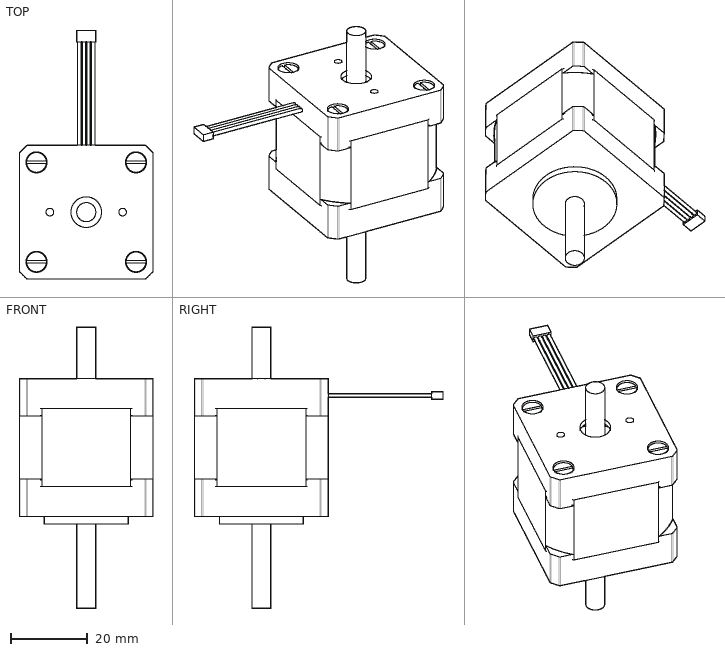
import cadquery as cq
import math

frame_width = 35.0
frame_height = 36.0
corner_chamfer = 2.0
corner_round = 0.5

stator_radius = 21.0
stator_height = 20.4
pocket_rim_chamfer = 0.2
exposed_stator_height = 16.4

cap_height = (frame_height - exposed_stator_height) / 2
stator_bottom = (frame_height - stator_height) / 2
stator_top = stator_bottom + stator_height
upper_cap_bottom = frame_height - cap_height

shaft_diameter = 5.0
shaft_below_pilot = 22.0
shaft_above_frame = 13.5
shaft_opening_diameter = 8.0
end_wall = 1.5

bearing_diameter = 15.0
bearing_depth = 5.4
bearing_top = frame_height - bearing_depth

pilot_diameter = 22.0
pilot_height = 2.0

drilled_hole_diameter = 2.0
drilled_hole_spacing = 19.0
drilled_hole_depth = 4.0
drill_point_angle = 118.0

screw_spacing = 26.0
screw_diameter = 3.0
screw_head_diameter = 5.2
screw_head_height = 2.0
screw_recess_diameter = 5.5
screw_head_sink = 0.5
screw_slot_width = 0.7
screw_slot_depth = 1.0
screw_tip_height = 3.0
screw_head_top = frame_height - screw_head_sink
screw_head_bottom = screw_head_top - screw_head_height

wire_count = 4
wire_diameter = 1.0
wire_pitch = 1.2
wire_length = 27.0
wire_drop = 4.4
plug_width = 5.0
plug_length = 3.0
plug_height = 2.0
wire_level = frame_height - wire_drop


def cylinder(diameter, bottom, top, x=0.0, y=0.0):
    return cq.Workplane("XY", origin=(x, y, bottom)).circle(diameter / 2).extrude(top - bottom)


def square_block(bottom, top):
    return cq.Workplane("XY").workplane(offset=bottom).rect(frame_width, frame_width).extrude(top - bottom)


screw_points = [
    (x * screw_spacing / 2, y * screw_spacing / 2)
    for x in (-1, 1)
    for y in (-1, 1)
]


def cap_block(bottom, top):
    """Square cap with chamfered corners, where each chamfer blends softly into the sides."""
    block = square_block(bottom, top).edges("|Z").chamfer(corner_chamfer)
    return block.edges("|Z").fillet(corner_round)


def rim_chamfer(rim, direction):
    """Cone that widens the pocket at a cap's rim and narrows into the cap along the Z direction."""
    rim_radius = stator_radius + pocket_rim_chamfer
    return (
        cq.Workplane("XY", origin=(0, 0, rim))
        .circle(rim_radius)
        .workplane(offset=direction * pocket_rim_chamfer)
        .circle(stator_radius)
        .loft()
    )


def stator_pocket():
    """Round seat for the stator; it breaks through the flat sides of the caps."""
    pocket = cylinder(2 * stator_radius, stator_bottom, stator_top)
    for rim, direction in ((cap_height, -1), (upper_cap_bottom, 1)):
        pocket = pocket.union(rim_chamfer(rim, direction))
    return pocket


def drilled_hole(x):
    radius = drilled_hole_diameter / 2
    cone_depth = radius / math.tan(math.radians(drill_point_angle / 2))
    shoulder = frame_height - drilled_hole_depth
    profile = [
        (0, frame_height),
        (radius, frame_height),
        (radius, shoulder),
        (0, shoulder - cone_depth),
    ]
    hole = cq.Workplane("XZ").polyline(profile).close().revolve(360, (0, 0, 0), (0, 1, 0))
    return hole.translate((x, 0, 0))


def make_upper_cap():
    cap = cap_block(upper_cap_bottom, frame_height).cut(stator_pocket())
    cap = cap.cut(cylinder(bearing_diameter, stator_top, frame_height - end_wall))
    cap = cap.cut(cylinder(shaft_opening_diameter, stator_top, frame_height))
    for side in (-1, 1):
        cap = cap.cut(drilled_hole(side * drilled_hole_spacing / 2))
    for x, y in screw_points:
        cap = cap.cut(cylinder(screw_diameter, upper_cap_bottom, frame_height, x, y))
        cap = cap.cut(cylinder(screw_recess_diameter, screw_head_bottom, frame_height, x, y))
    return cap


def make_lower_cap():
    cap = cap_block(0, cap_height).cut(stator_pocket())
    cap = cap.union(cylinder(pilot_diameter, -pilot_height, 0))
    cap = cap.cut(cylinder(shaft_diameter, -pilot_height, cap_height))
    for x, y in screw_points:
        cap = cap.cut(cylinder(screw_diameter, screw_tip_height, cap_height, x, y))
    return cap


def make_stator():
    core = cylinder(2 * stator_radius, stator_bottom, stator_top)
    core = core.intersect(square_block(stator_bottom, stator_top))
    core = core.cut(cylinder(shaft_diameter, stator_bottom, stator_top))
    for x, y in screw_points:
        core = core.cut(cylinder(screw_diameter, stator_bottom, stator_top, x, y))
    return core


def make_bearing():
    bearing = cylinder(bearing_diameter, stator_top, bearing_top)
    return bearing.cut(cylinder(shaft_diameter, stator_top, bearing_top))


def make_shaft():
    bottom = -pilot_height - shaft_below_pilot
    top = frame_height + shaft_above_frame
    return cylinder(shaft_diameter, bottom, top)


def make_screw(x, y):
    shank = cylinder(screw_diameter, screw_tip_height, screw_head_bottom, x, y)
    head = cylinder(screw_head_diameter, screw_head_bottom, screw_head_top, x, y)
    slot = (
        cq.Workplane("XY", origin=(x, y, screw_head_top - screw_slot_depth))
        .rect(screw_head_diameter, screw_slot_width)
        .extrude(screw_slot_depth)
    )
    return shank.union(head.cut(slot))


def make_wire_harness():
    """Four parallel wires that start at the +Y side of the upper cap and end in a plug."""
    wire_start = frame_width / 2
    wire_end = wire_start + wire_length
    harness = cq.Workplane("XY").box(plug_width, plug_length, plug_height)
    harness = harness.translate((0, wire_end + plug_length / 2, wire_level))
    for index in range(wire_count):
        x = (index - (wire_count - 1) / 2) * wire_pitch
        wire = cq.Workplane("XZ", origin=(x, wire_start, wire_level)).circle(wire_diameter / 2)
        harness = harness.union(wire.extrude(-wire_length))
    return harness


upper_cap = make_upper_cap()
lower_cap = make_lower_cap()
stator = make_stator()
bearing = make_bearing()
shaft = make_shaft()
screws = [make_screw(x, y) for x, y in screw_points]
wire_harness = make_wire_harness()

result = cq.Compound.makeCompound(
    [
        upper_cap.val(),
        lower_cap.val(),
        stator.val(),
        bearing.val(),
        shaft.val(),
        *[screw.val() for screw in screws],
        wire_harness.val(),
    ]
)